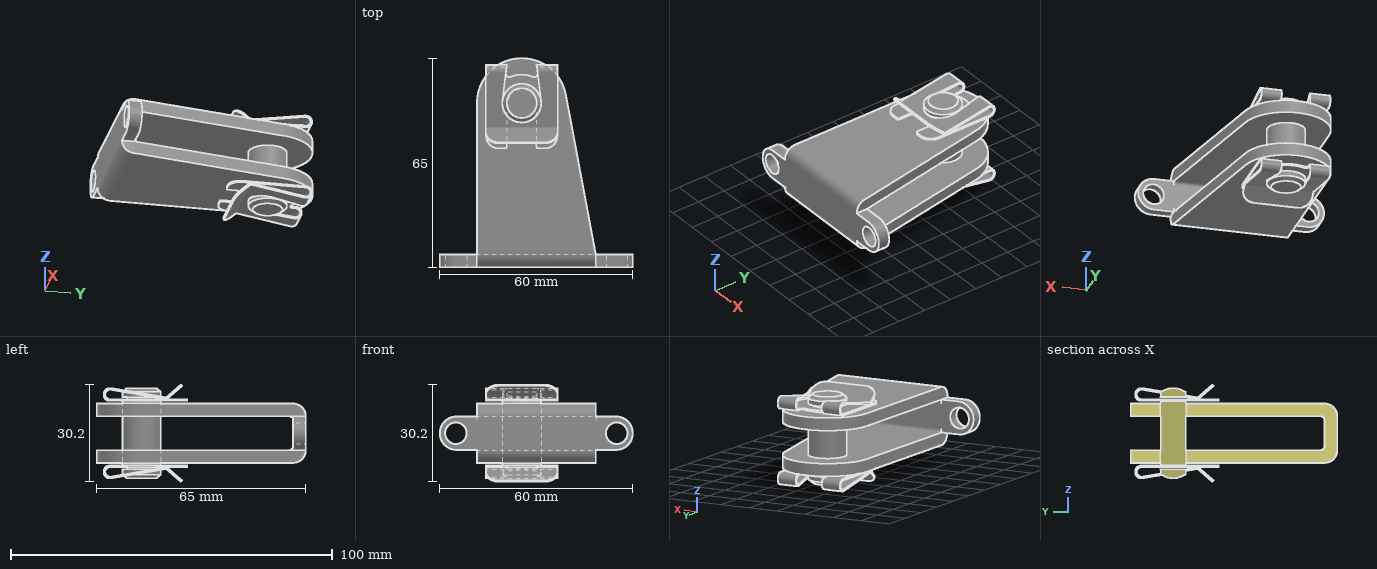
import cadquery as cq
import math

sheet = 4.0
leg_gap = 10.45
bracket_height = leg_gap + 2 * sheet
bracket_length = 65.0
leg_width = 37.0
nose_radius = 14.0
bend_inner_radius = 1.1
bend_outer_radius = sheet
strip_length = 60.0
strip_end_radius = leg_gap / 2
strip_hole_diameter = 6.6
strip_hole_spacing = 50.0

pin_diameter = 12.0
pin_length = 28.0
pin_chamfer_width = 1.35
pin_chamfer_height = 1.2
groove_diameter = 9.0
groove_start = 10.0
groove_width = 1.2
pin_x = nose_radius - leg_width / 2
pin_y = bracket_length - nose_radius

clip_sheet = 0.5
clip_width = 22.2
clip_bottom = groove_start
clip_base_end_y = 36.9
clip_top = 15.1
loop_outer_radius = 2.0
loop_end_y = 62.85
arm_angle = math.radians(9.6)
lip_angle = math.radians(41)
arm_end_y = 43.2
clip_slot_width = 9.15
clip_corner_radius = 4.0
slot_corner_radius = 0.65
arm_hole_radius = 6.05
collar_radius = 8.85
collar_corner_radius = 1.0
notch_width = 9.8
fold_inner_radius = 0.25


def make_leg_outline():
    """Plan of the legs: straight left side, round nose, and a right side tangent to the nose."""
    right_x = leg_width / 2
    corner_x = right_x - pin_x
    corner_y = sheet - pin_y
    corner_distance = math.hypot(corner_x, corner_y)
    tangent_angle = math.atan2(corner_y, corner_x) + math.acos(nose_radius / corner_distance)
    tangent_point = (
        pin_x + nose_radius * math.cos(tangent_angle),
        pin_y + nose_radius * math.sin(tangent_angle),
    )
    return (
        cq.Workplane("XY").workplane(offset=-bracket_height / 2)
        .moveTo(-right_x, 0)
        .lineTo(right_x, 0)
        .lineTo(right_x, sheet)
        .lineTo(*tangent_point)
        .threePointArc((pin_x, bracket_length), (-right_x, pin_y))
        .close()
        .extrude(bracket_height)
    )


def make_mounting_strip():
    """Flat strip with round ends and a screw hole near each end."""
    strip = cq.Workplane("XZ").slot2D(strip_length, 2 * strip_end_radius).extrude(-sheet)
    holes = (
        cq.Workplane("XZ")
        .pushPoints([(-strip_hole_spacing / 2, 0), (strip_hole_spacing / 2, 0)])
        .circle(strip_hole_diameter / 2)
        .extrude(-sheet)
    )
    return strip.cut(holes)


def make_bracket():
    block = (
        cq.Workplane("XY")
        .box(leg_width, bracket_length, bracket_height, (True, False, True))
        .edges("|X and <Y").fillet(bend_outer_radius)
    )
    opening = (
        cq.Workplane("XY").workplane(origin=(0, sheet, 0))
        .box(leg_width, bracket_length, leg_gap, (True, False, True))
        .edges("|X and <Y").fillet(bend_inner_radius)
    )
    pin_hole = (
        cq.Workplane("XY").workplane(offset=-bracket_height / 2)
        .center(pin_x, pin_y)
        .circle(pin_diameter / 2)
        .extrude(bracket_height)
    )
    legs = block.cut(opening).intersect(make_leg_outline()).cut(pin_hole)
    return legs.union(make_mounting_strip())


def make_pin():
    """Round pin with chamfered ends and a clip groove near each end."""
    pin = (
        cq.Workplane("XY").workplane(offset=-pin_length / 2)
        .center(pin_x, pin_y)
        .circle(pin_diameter / 2)
        .extrude(pin_length)
        .faces("<Z or >Z").chamfer(pin_chamfer_height, pin_chamfer_width)
    )
    for groove_bottom in (groove_start, -groove_start - groove_width):
        groove = (
            cq.Workplane("XY").workplane(offset=groove_bottom)
            .center(pin_x, pin_y)
            .circle(pin_diameter / 2)
            .circle(groove_diameter / 2)
            .extrude(groove_width)
        )
        pin = pin.cut(groove)
    return pin


def make_folded_sheet():
    """Clip sheet bent to shape, before its slots and holes are cut."""
    loop_inner_radius = loop_outer_radius - clip_sheet
    loop_y = loop_end_y - loop_outer_radius
    loop_z = clip_bottom + loop_outer_radius

    arm_normal = (-math.sin(arm_angle), math.cos(arm_angle))
    lip_normal = (math.sin(lip_angle), math.cos(lip_angle))
    mitre_scale = 1 + math.cos(arm_angle + lip_angle)
    mitre = [(a + b) / mitre_scale for a, b in zip(arm_normal, lip_normal)]

    fold_low_y = arm_end_y
    fold_low_z = (
        loop_z + loop_inner_radius / math.cos(arm_angle) - (loop_y - arm_end_y) * math.tan(arm_angle)
    )
    fold_high_y = fold_low_y + clip_sheet * mitre[0]
    fold_high_z = fold_low_z + clip_sheet * mitre[1]

    tip_high_y = fold_high_y - (clip_top - fold_high_z) / math.tan(lip_angle)
    tip_low = (tip_high_y - clip_sheet * lip_normal[0], clip_top - clip_sheet * lip_normal[1])

    def loop_point(radius, direction):
        return (loop_y + radius * direction[0], loop_z + radius * direction[1])

    loop_outward = (1, 0)
    profile = (
        cq.Workplane("YZ").workplane(offset=pin_x - clip_width / 2)
        .moveTo(clip_base_end_y, clip_bottom)
        .lineTo(loop_y, clip_bottom)
        .threePointArc(loop_point(loop_outer_radius, loop_outward), loop_point(loop_outer_radius, arm_normal))
        .lineTo(fold_high_y, fold_high_z)
        .lineTo(tip_high_y, clip_top)
        .lineTo(*tip_low)
        .lineTo(fold_low_y, fold_low_z)
        .lineTo(*loop_point(loop_inner_radius, arm_normal))
        .threePointArc(
            loop_point(loop_inner_radius, loop_outward), (loop_y, clip_bottom + clip_sheet)
        )
        .lineTo(clip_base_end_y, clip_bottom + clip_sheet)
        .close()
    )
    lip_corners = cq.selectors.ParallelDirSelector(cq.Vector(0, *lip_normal))
    return (
        profile.extrude(clip_width)
        .edges(lip_corners).fillet(clip_corner_radius)
        .edges("|Z and <Y").fillet(clip_corner_radius)
        .edges(cq.NearestToPointSelector((pin_x, fold_high_y, fold_high_z)))
        .fillet(fold_inner_radius)
        .edges(cq.NearestToPointSelector((pin_x, fold_low_y, fold_low_z)))
        .fillet(fold_inner_radius + clip_sheet)
    )


def make_base_slot():
    """Cutter for the open slot in the clip base that slides into the pin groove."""
    slot_length = pin_y - clip_base_end_y
    slot_end = cq.Workplane("XY").center(pin_x, pin_y).circle(clip_slot_width / 2).extrude(clip_sheet)
    slot = (
        cq.Workplane("XY")
        .center(pin_x, pin_y - slot_length / 2)
        .rect(clip_slot_width, slot_length)
        .extrude(clip_sheet)
    )
    return slot.union(slot_end).translate((0, 0, clip_bottom))


def make_loop_notch():
    """Cutter for the notch through the middle of the loop, down to the round collar of the base."""
    half_width = notch_width / 2
    mouth_half_width = clip_slot_width / 2
    mouth_y = loop_end_y - pin_y
    widening_y = mouth_y - loop_outer_radius
    collar_side_y = math.sqrt(collar_radius**2 - half_width**2)
    notch = (
        cq.Workplane("XY")
        .center(pin_x, pin_y)
        .moveTo(-mouth_half_width, mouth_y)
        .lineTo(-half_width, widening_y)
        .lineTo(-half_width, collar_side_y)
        .threePointArc((0, collar_radius), (half_width, collar_side_y))
        .lineTo(half_width, widening_y)
        .lineTo(mouth_half_width, mouth_y)
        .close()
        .extrude(clip_top)
    )
    for side in (-1, 1):
        corner = (pin_x + side * half_width, pin_y + collar_side_y, clip_top / 2)
        notch = notch.edges(cq.NearestToPointSelector(corner)).fillet(collar_corner_radius)
    return notch


def make_arm_opening():
    """Cutter for the hole in the arm around the pin head, narrowing in a straight taper to the loop notch."""
    mouth_half_width = notch_width / 2
    mouth_y = loop_end_y - loop_outer_radius - pin_y
    mouth_distance = math.hypot(mouth_half_width, mouth_y)
    tangent_angle = math.atan2(mouth_y, mouth_half_width) - math.acos(arm_hole_radius / mouth_distance)
    tangent_x = arm_hole_radius * math.cos(tangent_angle)
    tangent_y = arm_hole_radius * math.sin(tangent_angle)
    return (
        cq.Workplane("XY").workplane(offset=clip_bottom + clip_sheet)
        .center(pin_x, pin_y)
        .moveTo(-mouth_half_width, mouth_y)
        .lineTo(-tangent_x, tangent_y)
        .threePointArc((0, -arm_hole_radius), (tangent_x, tangent_y))
        .lineTo(mouth_half_width, mouth_y)
        .close()
        .extrude(clip_top - clip_bottom)
    )


def make_clip():
    slotted = make_folded_sheet().cut(make_base_slot())
    tip_reach = 0.05
    tip_inner = cq.selectors.BoxSelector(
        (pin_x - clip_slot_width / 2 - tip_reach, clip_base_end_y - tip_reach, 0),
        (pin_x + clip_slot_width / 2 + tip_reach, clip_base_end_y + tip_reach, clip_top),
    )
    rounded = slotted.edges("|Z").edges(tip_inner).fillet(slot_corner_radius)
    return rounded.cut(make_loop_notch()).cut(make_arm_opening())


bracket = make_bracket()
pin = make_pin()
upper_clip = make_clip()
lower_clip = upper_clip.mirror("XY")

result = cq.Compound.makeCompound([bracket.val(), pin.val(), upper_clip.val(), lower_clip.val()])